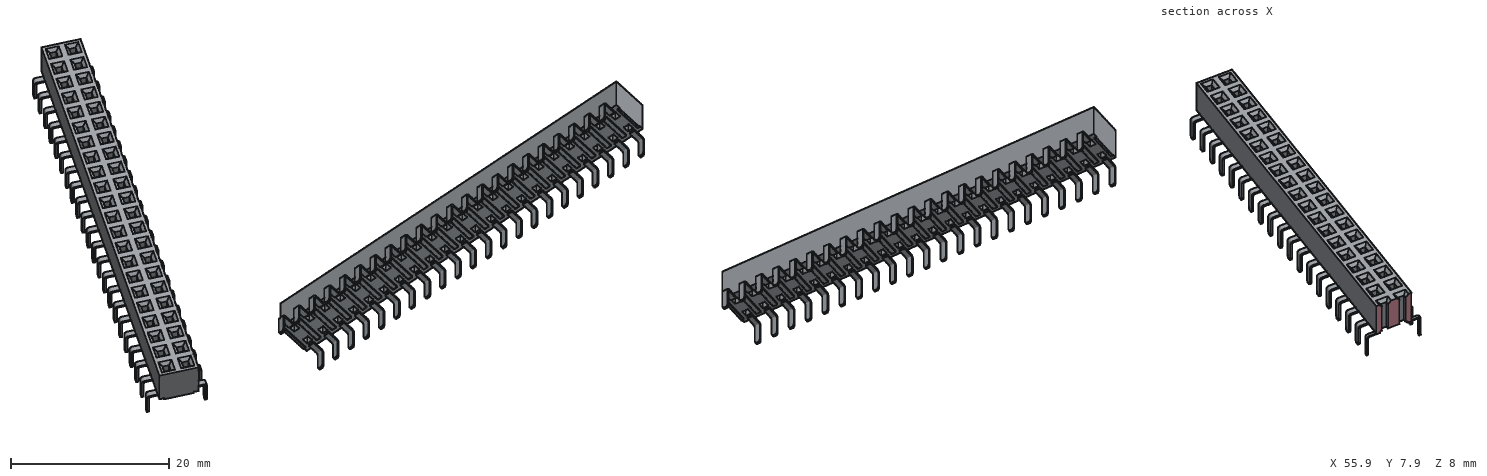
import cadquery as cq

contacts_per_row = 22
housing_length = 55.9
pitch = housing_length / contacts_per_row
housing_width = 5.15
housing_height = 4.9
row_y = pitch / 2

mouth_size = 1.75
mouth_depth = 0.45
hole_size = 0.85

rib_width = 0.65
rib_height = 0.195
rib_setback = 0.6

lead_span = 7.9
lead_width = 0.8
foot_overlap = 0.6
lead_thickness = 0.3
lead_drop = 3.1
bend_inner_radius = 0.15
bend_outer_radius = bend_inner_radius + lead_thickness
tip_length = 0.35
tip_inset = 0.14

contact_xs = [(i - (contacts_per_row - 1) / 2) * pitch for i in range(contacts_per_row)]


def make_socket():
    """Cutter for one socket, centred on the Z axis."""
    hole = cq.Workplane("XY").rect(hole_size, hole_size).extrude(housing_height)
    mouth = (
        cq.Workplane("XY", origin=(0, 0, housing_height - mouth_depth))
        .rect(hole_size, hole_size)
        .workplane(offset=mouth_depth)
        .rect(mouth_size, mouth_size)
        .loft(ruled=True)
    )
    return hole.union(mouth)


def make_ribs():
    """Standoff ribs midway between contacts; the two end ribs are cut off flush with the housing ends."""
    rib_positions = [(i * pitch - housing_length / 2, 0) for i in range(contacts_per_row + 1)]
    rib_length = housing_width - 2 * rib_setback
    ribs = cq.Workplane("XY").pushPoints(rib_positions).rect(rib_width, rib_length).extrude(rib_height)
    return ribs.intersect(cq.Workplane("XY").box(housing_length, housing_width, housing_height))


def make_lead():
    """One lead on the -Y side: a foot under the housing, a bend and a tapered leg."""
    top_z = rib_height
    foot_end_y = -housing_width / 2 + foot_overlap
    outer_y = -lead_span / 2
    bend_y = outer_y + bend_outer_radius
    bend_z = top_z - bend_outer_radius
    profile = (
        cq.Workplane("YZ")
        .moveTo(foot_end_y, top_z)
        .lineTo(bend_y, top_z)
        .radiusArc((outer_y, bend_z), -bend_outer_radius)
        .lineTo(outer_y, -lead_drop)
        .lineTo(outer_y + lead_thickness, -lead_drop)
        .lineTo(outer_y + lead_thickness, bend_z)
        .radiusArc((bend_y, top_z - lead_thickness), bend_inner_radius)
        .lineTo(foot_end_y, top_z - lead_thickness)
        .close()
    )
    lead = profile.extrude(lead_width / 2, both=True)
    return lead.faces("<Z").edges("|Y").chamfer(tip_length, tip_inset)


def place_in_rows(shape):
    """Copies of a -Y side shape at every contact position of both rows."""
    turned = shape.rotate((0, 0, 0), (0, 0, 1), 180)
    return [s.val().translate(cq.Vector(x, 0, 0)) for s in (shape, turned) for x in contact_xs]


housing = cq.Workplane("XY", origin=(0, 0, rib_height)).box(
    housing_length, housing_width, housing_height - rib_height, centered=(True, True, False)
)
sockets = place_in_rows(make_socket().translate((0, -row_y, 0)))
leads = place_in_rows(make_lead())

housing_solid = housing.union(make_ribs()).val().cut(*sockets)
result = cq.Workplane(housing_solid.fuse(*leads))